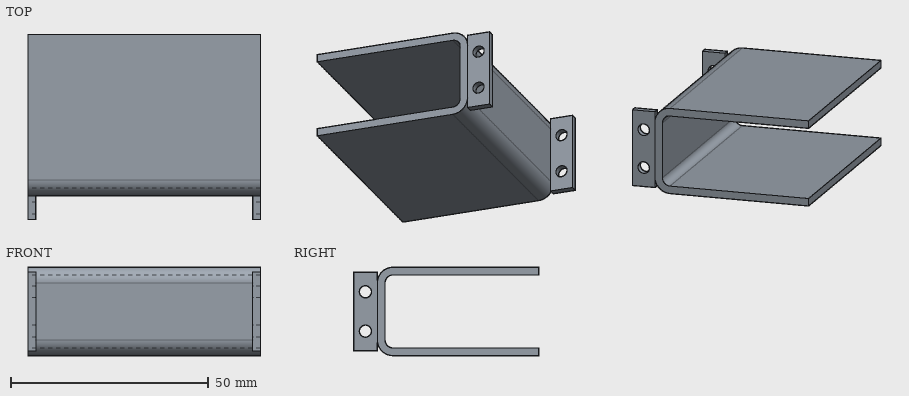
import cadquery as cq

length = 59.0
depth = 47.0
height = 22.5

thickness = 2.0
inner_bend_radius = 2.0
outer_bend_radius = inner_bend_radius + thickness

tab_thickness = 2.0
tab_depth = 6.0
tab_height = 20.0
hole_diameter = 3.0
hole_spacing = 10.0

channel_depth = depth - tab_depth


def make_channel():
    """U channel open towards +Y, its web's outer face on the plane Y = 0."""
    outside = (
        cq.Workplane("XY")
        .box(length, channel_depth, height, centered=(True, False, True))
        .edges("|X and <Y")
        .fillet(outer_bend_radius)
    )
    inside = (
        cq.Workplane("XY")
        .box(length, channel_depth - thickness, height - 2 * thickness, centered=(True, False, True))
        .edges("|X and <Y")
        .fillet(inner_bend_radius)
        .translate((0, thickness, 0))
    )
    return outside.cut(inside)


def make_tab(center_x):
    """Flat tab standing on the web, with two holes along X."""
    return (
        cq.Workplane("XY")
        .box(tab_thickness, tab_depth, tab_height)
        .faces(">X")
        .workplane()
        .pushPoints([(0, -hole_spacing / 2), (0, hole_spacing / 2)])
        .hole(hole_diameter)
        .translate((center_x, -tab_depth / 2, 0))
    )


channel = make_channel()

tab_offset = (length - tab_thickness) / 2
tabs = [make_tab(side * tab_offset) for side in (-1, 1)]

result = cq.Compound.makeCompound([channel.val(), *[tab.val() for tab in tabs]])